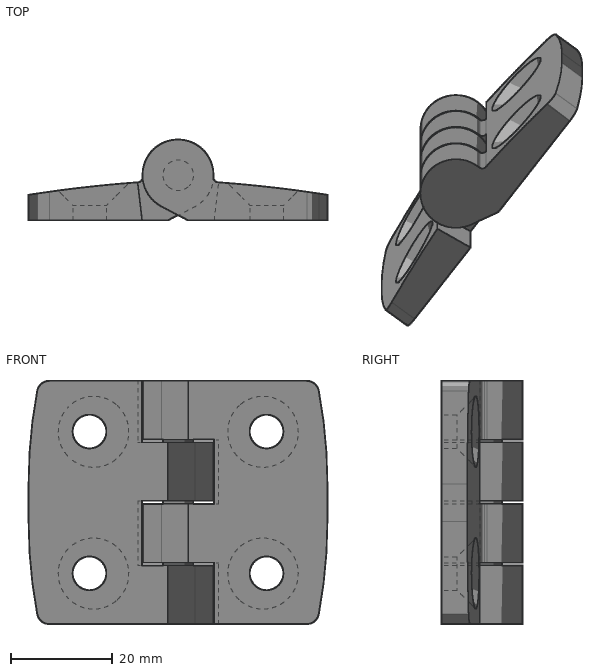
import cadquery as cq
import math

half_width = 29.5
height = 48.0
half_height = height / 2

barrel_radius = 7.0
barrel_y = 8.95
pin_diameter = 6.0
knuckle_height = 11.6
middle_gap = 0.6
underside_angle = math.radians(27.7)

root_x = 7.9
root_y = 7.55
root_fillet = 0.9
crown_mid_x = 18.6
crown_mid_y = 6.55
edge_y = 5.1

flat_half_height = 3.7
edge_arc_radius = 99.1
corner_radius = 2.5

notch_x = 7.1
notch_slant = 0.9

hole_x = 17.45
hole_z = 14.0
hole_diameter = 6.6
countersink_diameter = 13.7
countersink_y = crown_mid_y
countersink_angle = math.radians(90)

upper_knuckle_bottom = half_height - knuckle_height
lower_knuckle_top = -middle_gap / 2
lower_knuckle_bottom = lower_knuckle_top - knuckle_height


def extrude_profile(sketch, bottom, top):
    """Extrude a sketch drawn in X and Y between two heights."""
    return sketch.extrude(top - bottom).translate((0, 0, bottom))


def leaf_section():
    """Knuckle and wing of the right leaf, as one section in X and Y."""
    tangent_x = -barrel_radius * math.sin(underside_angle)
    tangent_y = barrel_y - barrel_radius * math.cos(underside_angle)
    foot_x = tangent_x + tangent_y / math.tan(underside_angle)
    fillet_mid_x = barrel_radius + root_fillet * (1 - math.sqrt(0.5))
    fillet_mid_y = root_y + root_fillet * (1 - math.sqrt(0.5))
    return (
        cq.Workplane("XY")
        .moveTo(foot_x, 0)
        .lineTo(tangent_x, tangent_y)
        .threePointArc((-barrel_radius, barrel_y), (0, barrel_y + barrel_radius))
        .threePointArc(
            (barrel_radius * math.sqrt(0.5), barrel_y + barrel_radius * math.sqrt(0.5)),
            (barrel_radius, barrel_y),
        )
        .lineTo(barrel_radius, root_y + root_fillet)
        .threePointArc((fillet_mid_x, fillet_mid_y), (root_x, root_y))
        .threePointArc((crown_mid_x, crown_mid_y), (half_width, edge_y))
        .lineTo(half_width, 0)
        .close()
    )


def edge_x(z):
    """Distance of the curved outer edge from the hinge axis at height z."""
    rise = abs(z) - flat_half_height
    return half_width - edge_arc_radius + math.sqrt(edge_arc_radius**2 - rise**2)


def leaf_outline():
    """Rounded block that trims the leaf to its front outline."""
    corner = (edge_x(half_height), half_height)
    arc_mid_z = (half_height + flat_half_height) / 2
    arc_mid = (edge_x(arc_mid_z), arc_mid_z)
    block_depth = barrel_y + barrel_radius
    block = (
        cq.Workplane("XZ")
        .moveTo(-barrel_radius, -half_height)
        .lineTo(corner[0], -corner[1])
        .threePointArc((arc_mid[0], -arc_mid[1]), (half_width, -flat_half_height))
        .lineTo(half_width, flat_half_height)
        .threePointArc(arc_mid, corner)
        .lineTo(-barrel_radius, half_height)
        .close()
        .extrude(-block_depth)
    )
    for end in (-1, 1):
        block = block.edges(cq.selectors.NearestToPointSelector(
            (corner[0], block_depth / 2, end * half_height)
        )).fillet(corner_radius)
    return block


def notch(bottom, top):
    """Clearance for an opposite knuckle, bounded by the slanted wall."""
    slant_per_depth = notch_slant / root_y
    depth = barrel_y + barrel_radius
    section = cq.Workplane("XY").polyline([
        (-barrel_radius, 0),
        (notch_x, 0),
        (notch_x + slant_per_depth * depth, depth),
        (-barrel_radius, depth),
    ]).close()
    return extrude_profile(section, bottom, top)


def screw_hole(z):
    """Through hole whose conical countersink opens to the crowned face."""
    hole_radius = hole_diameter / 2
    sink_radius = countersink_diameter / 2
    cone_slope = math.tan(countersink_angle / 2)
    cone_start_y = countersink_y - (sink_radius - hole_radius) / cone_slope
    top_y = barrel_y
    top_radius = hole_radius + (top_y - cone_start_y) * cone_slope
    return (
        cq.Workplane("XY")
        .polyline([(0, 0), (hole_radius, 0), (hole_radius, cone_start_y), (top_radius, top_y), (0, top_y)])
        .close()
        .revolve(360, (0, 0, 0), (0, 1, 0))
        .translate((hole_x, 0, z))
    )


def right_leaf():
    """Leaf with its knuckles in the first and third segments from the top."""
    leaf = extrude_profile(leaf_section(), -half_height, half_height).intersect(leaf_outline())
    leaf = leaf.cut(notch(lower_knuckle_top, upper_knuckle_bottom))
    leaf = leaf.cut(notch(-half_height, lower_knuckle_bottom))
    for z in (-hole_z, hole_z):
        leaf = leaf.cut(screw_hole(z))
    return leaf


def pin():
    """Hinge pin that joins the knuckles of both leaves."""
    section = cq.Workplane("XY").center(0, barrel_y).circle(pin_diameter / 2)
    return extrude_profile(section, -half_height, half_height)


leaf = right_leaf()
result = leaf.union(leaf.rotate((0, 0, 0), (0, 1, 0), 180)).union(pin())